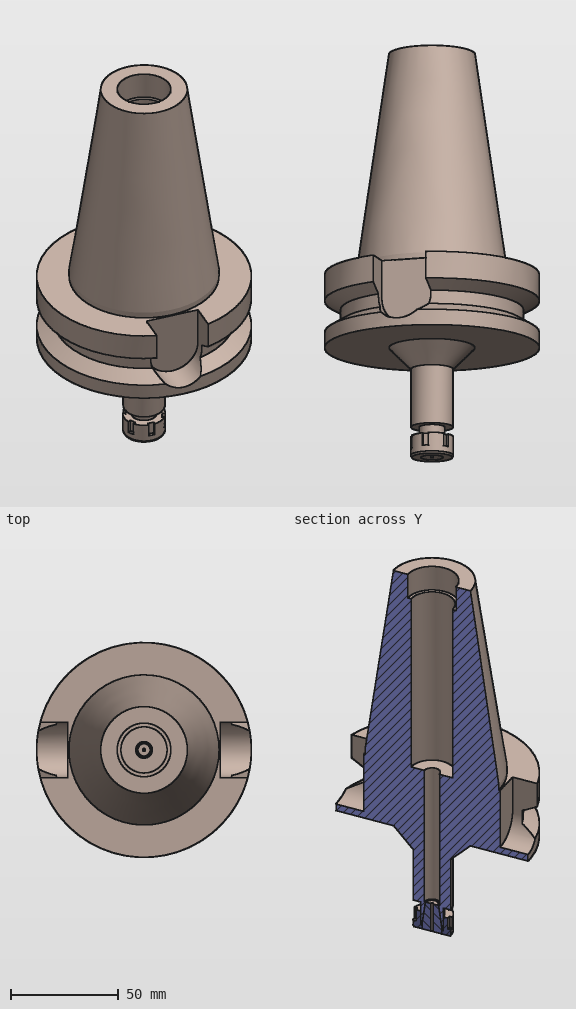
import cadquery as cq
import math

TOTAL_HEIGHT = 191.8
GAUGE_Z = 90.0
FLANGE_TOP_Z = 87.0
GROOVE_TOP_Z = 74.5
GROOVE_FLOOR_TOP_Z = 70.2
GROOVE_FLOOR_BOTTOM_Z = 63.9
GROOVE_BOTTOM_Z = 59.5
FLANGE_BOTTOM_Z = 52.2
SHANK_TOP_Z = 42.0
SHANK_BOTTOM_Z = 14.4
NUT_HEIGHT = 9.8
COLLET_TOP_Z = 15.3
NOSE_Z = 2.0

TAPER_TOP_RADIUS = 20.1
GAUGE_RADIUS = 35.0
FLANGE_DIAMETER = 100.0
FLANGE_RADIUS = FLANGE_DIAMETER / 2
GROOVE_RADIUS = 42.5
SHANK_RADIUS = 9.8
NECK_RADIUS = 6.0
CONE_TOP_RADIUS = SHANK_RADIUS + FLANGE_BOTTOM_Z - SHANK_TOP_Z

PULL_STUD_BORE_RADIUS = 12.5
PULL_STUD_BORE_DEPTH = 12.9
THREAD_BORE_RADIUS = 10.7
THREAD_BORE_BOTTOM_Z = FLANGE_TOP_Z
THROUGH_HOLE_RADIUS = 3.8

DRIVE_SLOT_WIDTH = 25.7
DRIVE_SLOT_FLOOR_X = 35.5
DRIVE_SLOT_BOTTOM_Z = 56.0

COLLET_TOP_RADIUS = 3.3
COLLET_HALF_ANGLE = 8.0
COLLET_BORE_RADIUS = 0.5
COLLET_CHAMFER = 0.4
COLLET_NOSE_RADIUS = (
    COLLET_TOP_RADIUS + (COLLET_TOP_Z - NOSE_Z) * math.tan(math.radians(COLLET_HALF_ANGLE))
)

NUT_RADIUS = 10.0
NUT_CHAMFER_WIDTH = 0.5
NUT_CHAMFER_HEIGHT = 1.0
WRENCH_SLOT_COUNT = 6
WRENCH_SLOT_WIDTH = 2.9
WRENCH_SLOT_DEPTH = 1.5
WRENCH_SLOT_BOTTOM_Z = 3.8


def revolve_profile(points):
    """Turn an outline of (radius, height) points around the Z axis."""
    return cq.Workplane("XZ").polyline(points).close().revolve(360, (0, 0, 0), (0, 1, 0))


def cylinder(radius, bottom_z, top_z):
    return cq.Workplane("XY").workplane(offset=bottom_z).circle(radius).extrude(top_z - bottom_z)


def collet_cone():
    """Outside shape of the tapered part of the collet, also the shape of its socket."""
    return revolve_profile([
        (0, NOSE_Z),
        (COLLET_NOSE_RADIUS, NOSE_Z),
        (COLLET_TOP_RADIUS, COLLET_TOP_Z),
        (0, COLLET_TOP_Z),
    ])


def drive_slot():
    """Slot cutter on the +X side: flat inner wall, open top and a round bottom."""
    arc_radius = DRIVE_SLOT_WIDTH / 2
    arc_center_z = DRIVE_SLOT_BOTTOM_Z + arc_radius
    return (
        cq.Workplane("YZ")
        .workplane(offset=DRIVE_SLOT_FLOOR_X)
        .moveTo(-arc_radius, FLANGE_TOP_Z)
        .lineTo(-arc_radius, arc_center_z)
        .threePointArc((0, DRIVE_SLOT_BOTTOM_Z), (arc_radius, arc_center_z))
        .lineTo(arc_radius, FLANGE_TOP_Z)
        .close()
        .extrude(FLANGE_RADIUS)
    )


def make_holder():
    body = revolve_profile([
        (0, NOSE_Z),
        (NECK_RADIUS, NOSE_Z),
        (NECK_RADIUS, SHANK_BOTTOM_Z),
        (SHANK_RADIUS, SHANK_BOTTOM_Z),
        (SHANK_RADIUS, SHANK_TOP_Z),
        (CONE_TOP_RADIUS, FLANGE_BOTTOM_Z),
        (FLANGE_RADIUS, FLANGE_BOTTOM_Z),
        (FLANGE_RADIUS, GROOVE_BOTTOM_Z),
        (GROOVE_RADIUS, GROOVE_FLOOR_BOTTOM_Z),
        (GROOVE_RADIUS, GROOVE_FLOOR_TOP_Z),
        (FLANGE_RADIUS, GROOVE_TOP_Z),
        (FLANGE_RADIUS, FLANGE_TOP_Z),
        (GAUGE_RADIUS, FLANGE_TOP_Z),
        (GAUGE_RADIUS, GAUGE_Z),
        (TAPER_TOP_RADIUS, TOTAL_HEIGHT),
        (0, TOTAL_HEIGHT),
    ])

    for angle in (0, 180):
        body = body.cut(drive_slot().rotate((0, 0, 0), (0, 0, 1), angle))

    shoulder_z = TOTAL_HEIGHT - PULL_STUD_BORE_DEPTH
    body = body.cut(cylinder(PULL_STUD_BORE_RADIUS, shoulder_z, TOTAL_HEIGHT))
    body = body.cut(cylinder(THREAD_BORE_RADIUS, THREAD_BORE_BOTTOM_Z, shoulder_z))
    body = body.cut(cylinder(THROUGH_HOLE_RADIUS, COLLET_TOP_Z, THREAD_BORE_BOTTOM_Z))
    return body.cut(collet_cone())


def make_collet():
    """Tapered sleeve, chamfered on top, with a straight lower end that is flush with the nut."""
    body = collet_cone().faces(">Z").chamfer(COLLET_CHAMFER)
    body = body.union(cylinder(COLLET_NOSE_RADIUS, 0, NOSE_Z))
    return body.cut(cylinder(COLLET_BORE_RADIUS, 0, COLLET_TOP_Z))


def make_nut():
    body = revolve_profile([
        (COLLET_NOSE_RADIUS, 0),
        (NUT_RADIUS - NUT_CHAMFER_WIDTH, 0),
        (NUT_RADIUS, NUT_CHAMFER_HEIGHT),
        (NUT_RADIUS, NUT_HEIGHT),
        (NECK_RADIUS, NUT_HEIGHT),
        (NECK_RADIUS, NOSE_Z),
        (COLLET_NOSE_RADIUS, NOSE_Z),
    ])

    wrench_slot = cq.Workplane("XY").box(
        NUT_RADIUS, WRENCH_SLOT_WIDTH, NUT_HEIGHT - WRENCH_SLOT_BOTTOM_Z, centered=(False, True, False)
    ).translate((NUT_RADIUS - WRENCH_SLOT_DEPTH, 0, WRENCH_SLOT_BOTTOM_Z))
    for index in range(WRENCH_SLOT_COUNT):
        angle = index * 360 / WRENCH_SLOT_COUNT
        body = body.cut(wrench_slot.rotate((0, 0, 0), (0, 0, 1), angle))
    return body


holder = make_holder()
collet = make_collet()
nut = make_nut()

result = cq.Compound.makeCompound([holder.val(), collet.val(), nut.val()])